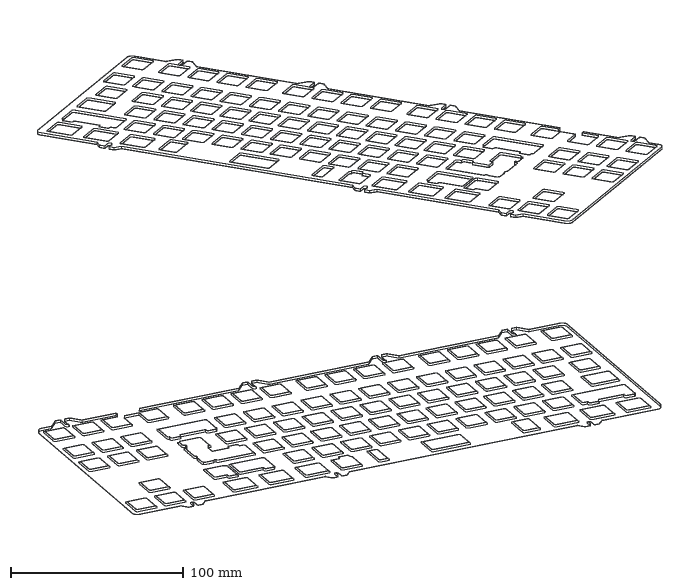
import cadquery as cq

UNIT = 19.05
TILT = 5.0
THICKNESS = 1.6
WIDTH = 348.66
TOP_EDGE = 59.4
BOTTOM_EDGE = -60.0
CORNER_RADIUS = 3.0
CUT_DEPTH = 3 * THICKNESS

LAST_COLUMN = 17.25
COLUMN_ZERO = -LAST_COLUMN / 2 * UNIT
ROW_ZERO = -49.53
BOTTOM_ROW = 0
SHIFT_ROW = 1
HOME_ROW = 2
TAB_ROW = 3
NUMBER_ROW = 4
FUNCTION_ROW = 5.25
SWITCH_SIZE = 14.0
SWITCH_RADIUS = 1.0

STAB_WIDTH = 7.0
STAB_FRONT = 9.0
STAB_BACK = 6.5
STAB_RADIUS = 1.0
STAB_OFFSET_2U = 11.9
STAB_OFFSET_6_25U = 50.0
STAB_OFFSET_7U = 57.15

TOP_TAB_HEIGHT = 5.3
BOTTOM_TAB_HEIGHT = 3.25
TAB_CREST = 9.6
TOP_TAB_BASE = 20.0
BOTTOM_TAB_BASE = 16.0
TAB_SLOT_WIDTH = 2.7
TAB_SLOT_INSET = 1.8
TOP_TAB_CENTRES = (-140.6, -54.9, 30.95, 154.55)
BOTTOM_TAB_CENTRES = (-126.2, 40.5, 135.75)

NOTCH_COLUMN = 14.625
NOTCH_WIDTH = 15.3
NOTCH_DEPTH = 4.9

BACKSPACE = 13.5
LEFT_SHIFT = 0.625
RIGHT_SHIFT = 13.125
SPACE_6_25U = 6.375
SPACE_7U = 7
ANSI_ENTER = (13.375, HOME_ROW)
ISO_ENTER = (13.875, (HOME_ROW + TAB_ROW) / 2)

UP_ARROW = LAST_COLUMN - 1
NAVIGATION = [LAST_COLUMN - 2, UP_ARROW, LAST_COLUMN]
SWITCH_COLUMNS = {
    FUNCTION_ROW: (
        [0]
        + [1.25 + i for i in range(4)]
        + [5.5 + i for i in range(4)]
        + [9.75 + i for i in range(4)]
        + [14]
        + NAVIGATION
    ),
    NUMBER_ROW: list(range(15)) + [BACKSPACE] + NAVIGATION,
    TAB_ROW: [0.25] + [1.5 + i for i in range(12)] + [13.75] + NAVIGATION,
    HOME_ROW: [0.125, 0.375] + [1.75 + i for i in range(12)],
    SHIFT_ROW: [0.125, LEFT_SHIFT] + [1.25 + i for i in range(11)] + [12.625, RIGHT_SHIFT, 14, UP_ARROW],
    BOTTOM_ROW: (
        [0.125, 0.25, 1.375, 1.5, 2.625, 2.75]
        + [SPACE_6_25U, SPACE_7U]
        + [10.125, 11.25, 11.375, 12.5, 12.625, 13.75, 13.875]
        + NAVIGATION
    ),
}

STABILIZED_KEYS = [
    (BACKSPACE, NUMBER_ROW, STAB_OFFSET_2U, 0),
    (LEFT_SHIFT, SHIFT_ROW, STAB_OFFSET_2U, 0),
    (RIGHT_SHIFT, SHIFT_ROW, STAB_OFFSET_2U, 0),
    (*ANSI_ENTER, STAB_OFFSET_2U, 180),
    (*ISO_ENTER, STAB_OFFSET_2U, -90),
    (SPACE_6_25U, BOTTOM_ROW, STAB_OFFSET_6_25U, 180),
    (SPACE_7U, BOTTOM_ROW, STAB_OFFSET_7U, 180),
]


def key_position(column, row):
    return (COLUMN_ZERO + column * UNIT, ROW_ZERO + row * UNIT)


def rounded_cutter(width, height, radius):
    return cq.Workplane("XY").box(width, height, CUT_DEPTH).edges("|Z").fillet(radius)


def blank():
    height = TOP_EDGE - BOTTOM_EDGE
    plate = cq.Workplane("XY").box(WIDTH, height, THICKNESS).edges("|Z").fillet(CORNER_RADIUS)
    return plate.translate((0, (TOP_EDGE + BOTTOM_EDGE) / 2, 0))


def mounting_tab(centre, edge, outward, height, base):
    """Trapezoid that grows from a long edge, split by a slot; outward is +1 or -1 along Y."""
    crest_y = edge + outward * height
    root_y = edge - outward * TAB_SLOT_INSET
    outline = [
        (centre - base / 2, edge),
        (centre - TAB_CREST / 2, crest_y),
        (centre + TAB_CREST / 2, crest_y),
        (centre + base / 2, edge),
        (centre + base / 2, root_y),
        (centre - base / 2, root_y),
    ]
    tab = cq.Workplane("XY").polyline(outline).close().extrude(THICKNESS / 2, both=True)
    slot_length = 2 * (height + TAB_SLOT_INSET)
    slot = cq.Workplane("XY").slot2D(slot_length, TAB_SLOT_WIDTH, 90).extrude(CUT_DEPTH, both=True)
    return tab, slot.translate((centre, crest_y, 0))


def add_tabs(plate):
    tabs = [
        mounting_tab(centre, TOP_EDGE, 1, TOP_TAB_HEIGHT, TOP_TAB_BASE) for centre in TOP_TAB_CENTRES
    ] + [
        mounting_tab(centre, BOTTOM_EDGE, -1, BOTTOM_TAB_HEIGHT, BOTTOM_TAB_BASE)
        for centre in BOTTOM_TAB_CENTRES
    ]
    for tab, slot in tabs:
        plate = plate.union(tab).cut(slot)
    return plate


def switch_cutouts():
    cutter = rounded_cutter(SWITCH_SIZE, SWITCH_SIZE, SWITCH_RADIUS).val()
    places = [
        key_position(column, row) for row, columns in SWITCH_COLUMNS.items() for column in columns
    ]
    places += [key_position(*ANSI_ENTER), key_position(*ISO_ENTER)]
    return [cutter.translate(cq.Vector(x, y, 0)) for x, y in places]


def stabilizer_cutouts():
    cutter = rounded_cutter(STAB_WIDTH, STAB_FRONT + STAB_BACK, STAB_RADIUS)
    cutter = cutter.translate((0, (STAB_BACK - STAB_FRONT) / 2, 0))
    cutouts = []
    for column, row, offset, facing in STABILIZED_KEYS:
        x, y = key_position(column, row)
        for side in (-1, 1):
            turned = cutter.translate((side * offset, 0, 0)).rotate((0, 0, 0), (0, 0, 1), facing)
            cutouts.append(turned.translate((x, y, 0)).val())
    return cutouts


def enter_scrap_cutout():
    """Removes the scrap left between the overlapping Enter switch and stabilizer cutouts."""
    x, y = key_position(*ANSI_ENTER)
    scrap = cq.Workplane("XY").box(STAB_OFFSET_2U, STAB_WIDTH, CUT_DEPTH)
    return scrap.translate((x + STAB_OFFSET_2U / 2, y, 0)).val()


def connector_notch():
    x, _ = key_position(NOTCH_COLUMN, FUNCTION_ROW)
    notch = cq.Workplane("XY").box(NOTCH_WIDTH, 2 * NOTCH_DEPTH, CUT_DEPTH)
    return notch.translate((x, TOP_EDGE, 0)).val()


def keyboard_plate():
    plate = add_tabs(blank())
    cutters = switch_cutouts() + stabilizer_cutouts() + [enter_scrap_cutout(), connector_notch()]
    plate = cq.Workplane(plate.val().cut(*cutters))
    return plate.rotate((0, 0, 0), (1, 0, 0), TILT)


result = keyboard_plate()